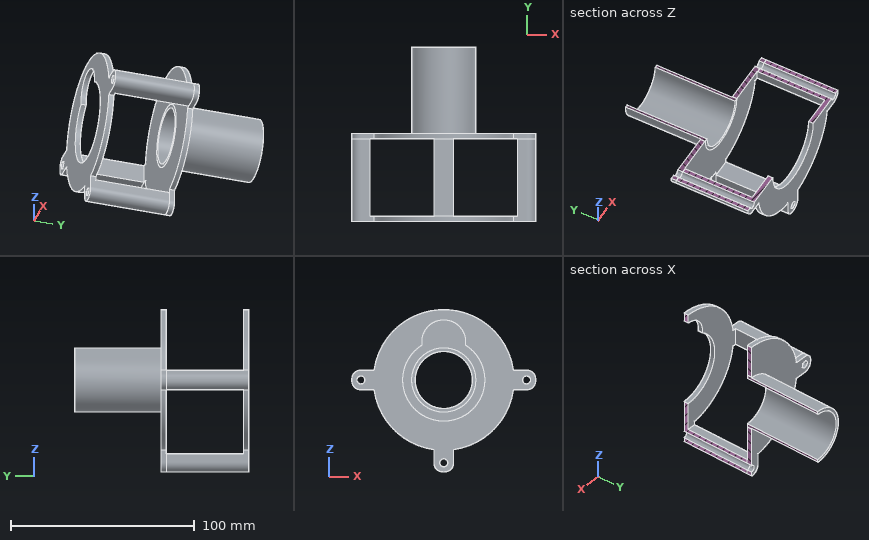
import cadquery as cq

overall_width = 100.2
disc_radius = 38.4
tab_reach = overall_width / 2
tab_width = 10.8
tab_corner_radius = 4.9
screw_offset = 45.1
screw_diameter = 4.2
tab_angles = (0, 180, 270)

plate_thickness = 3.0
frame_depth = 45.0
leg_length = 10.0
tube_projection = 47.0

opening_diameter = 44.8
lobe_diameter = 24.0
lobe_height = 20.7

tube_outer_diameter = 35.0
tube_inner_diameter = 31.0


def cylinder(diameter, start, depth, x=0, z=0):
    """Cylinder along +Y from Y = start."""
    profile = cq.Workplane("XZ", origin=(x, start, z)).circle(diameter / 2)
    return profile.extrude(-depth)


def tab_block(inner_reach, start, depth, angle):
    """Radial block with rounded outer corners, turned about the Y axis."""
    length = tab_reach - inner_reach
    block = (
        cq.Workplane("XZ", origin=(inner_reach + length / 2, start, 0))
        .rect(length, tab_width)
        .extrude(-depth)
        .edges("|Y and >X")
        .fillet(tab_corner_radius)
    )
    return block.rotate((0, 0, 0), (0, 1, 0), -angle)


def flange(start):
    """Round plate with three tabs."""
    plate = cylinder(2 * disc_radius, start, plate_thickness)
    for angle in tab_angles:
        inner_reach = disc_radius - tab_width / 2
        plate = plate.union(tab_block(inner_reach, start, plate_thickness, angle))
    return plate


def cut_screw_holes(body, start, depth):
    """Drill one screw hole through every tab."""
    for angle in tab_angles:
        hole = cylinder(screw_diameter, start, depth, x=screw_offset)
        body = body.cut(hole.rotate((0, 0, 0), (0, 1, 0), -angle))
    return body


def make_front_frame():
    """Front ring with a keyhole opening and three legs reaching back."""
    frame = flange(0)
    frame = frame.cut(cylinder(opening_diameter, 0, plate_thickness))
    frame = frame.cut(cylinder(lobe_diameter, 0, plate_thickness, z=lobe_height))
    for angle in tab_angles:
        frame = frame.union(tab_block(tab_reach - leg_length, 0, frame_depth, angle))
    return cut_screw_holes(frame, 0, frame_depth)


def make_rear_plate():
    """Plate behind the legs, bored to receive the tube."""
    plate = flange(frame_depth)
    plate = plate.cut(cylinder(tube_outer_diameter, frame_depth, plate_thickness))
    return cut_screw_holes(plate, frame_depth, plate_thickness)


def make_tube():
    """Open tube, flush with the front of the rear plate."""
    length = plate_thickness + tube_projection
    outer = cylinder(tube_outer_diameter, frame_depth, length)
    return outer.cut(cylinder(tube_inner_diameter, frame_depth, length))


front_frame = make_front_frame()
rear_plate = make_rear_plate()
tube = make_tube()

result = cq.Compound.makeCompound([front_frame.val(), rear_plate.val(), tube.val()])